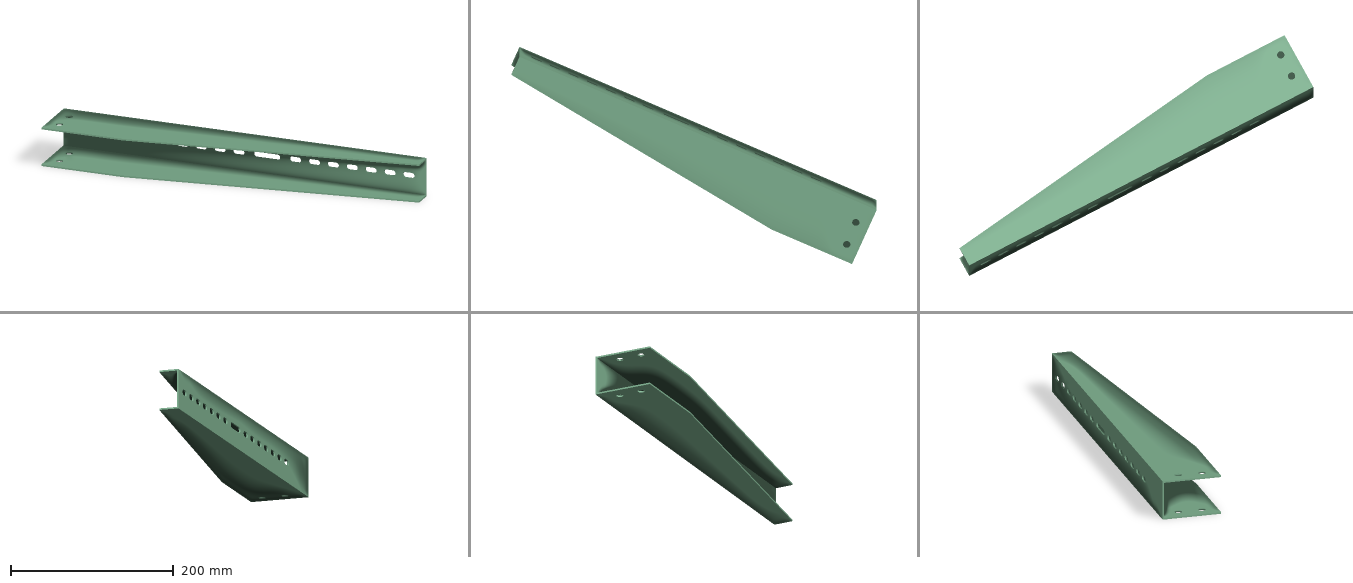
import cadquery as cq

length = 480.0
depth = 75.0
height = 50.0
sheet_thickness = 2.0

taper_start_x = 108.0
tip_depth = 25.0

hole_diameter = 9.0
back_hole_x = 17.0
back_hole_offset = 25.0
front_hole_x = 16.0
hole_spacing = 30.0

slot_width = 7.0
short_slot_length = 15.0
long_slot_length = 35.0
slot_pitch = 25.0
slots_per_row = 7
first_slot_x = 82.0
row_span = (slots_per_row - 1) * slot_pitch
row_spacing = 225.0
second_row_x = first_slot_x + row_spacing
long_slot_x = (first_slot_x + row_span + second_row_x) / 2


def tapered_channel():
    """U-channel open toward -Y, with the outer web face on y = 0."""
    outline = [
        (0, 0),
        (length, 0),
        (length, -tip_depth),
        (taper_start_x, -depth),
        (0, -depth),
    ]
    blank = cq.Workplane("XY").polyline(outline).close().extrude(height)
    inside = cq.Workplane("XY").box(length, depth, height - 2 * sheet_thickness, centered=False)
    return blank.cut(inside.translate((0, -depth - sheet_thickness, sheet_thickness)))


def mounting_holes():
    """Cutters for the two holes that pass through both flanges."""
    centers = [
        (back_hole_x, -back_hole_offset),
        (front_hole_x, -back_hole_offset - hole_spacing),
    ]
    return cq.Workplane("XY").pushPoints(centers).circle(hole_diameter / 2).extrude(height)


def web_slots(x_centers, slot_length):
    """Cutters for round-ended slots at mid-height of the web."""
    centers = [(x, height / 2) for x in x_centers]
    return cq.Workplane("XZ").pushPoints(centers).slot2D(slot_length, slot_width).extrude(sheet_thickness)


short_slot_centers = [
    row_start + i * slot_pitch
    for row_start in (first_slot_x, second_row_x)
    for i in range(slots_per_row)
]

result = (
    tapered_channel()
    .cut(mounting_holes())
    .cut(web_slots(short_slot_centers, short_slot_length))
    .cut(web_slots([long_slot_x], long_slot_length))
)